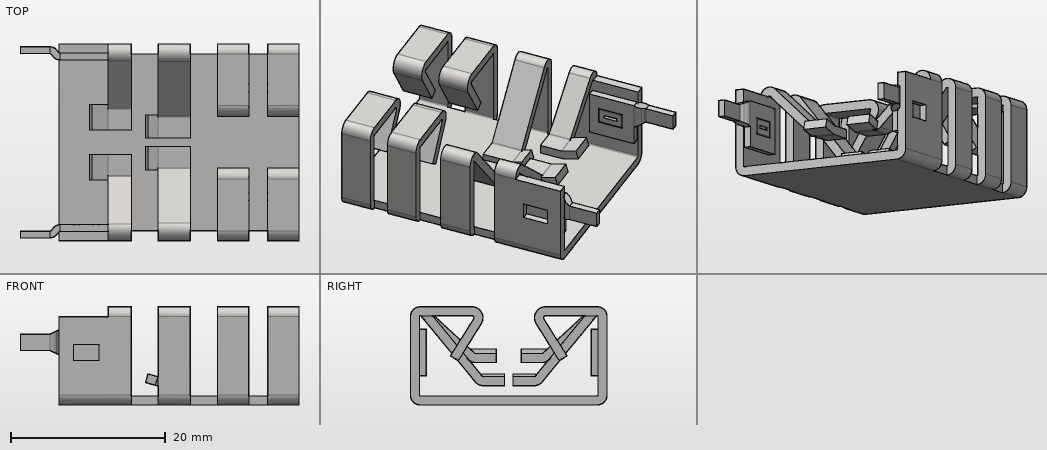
import cadquery as cq
import math

length_end = 36.0
half_width = 12.7
height = 12.7
shell_front = 4.95
sheet = 1.2
bend_inner = 0.1
bend_outer = sheet + bend_inner
bend_y = half_width - bend_outer
wall_inner = half_width - sheet
wall_top = height - bend_outer

front_wall = (shell_front, 14.33)
front_arm = (11.35, 14.33)
middle_arm = (17.8, 21.95)
clips = [(25.45, 29.52), (31.95, length_end)]

front_arm_slope = 42.7
front_pad_top = 6.65
front_pad_tip = 1.6
middle_arm_slope = 50.5
middle_pad_top = 3.67
middle_pad_tip = 0.55

tab_tilt = 16.0
front_tab_length = 2.12
front_tab_width = 3.28
middle_tab_length = 1.35
middle_tab_width = 3.02

clip_bend_y = 4.75
clip_inner = 0.25
clip_outer = sheet + clip_inner
leg_tilt = 32.0
leg_length = 5.65

terminal_sheet = 0.9
tail_outer = 12.35
tail_end = 3.8
tail_height = 2.12
tail_middle = 8.1
joggle_angle = 50.0
joggle_inner = 0.2
joggle_outer = joggle_inner + terminal_sheet
neck_height = 3.4
plate_front = 5.15
plate_rear = 11.45
plate_bottom = 3.78
plate_top = 9.8

rivet_front = 6.85
rivet_length = 3.35
rivet_bottom = 5.72
rivet_height = 2.12
rivet_depth = 0.9
rivet_fillet = 0.15
groove_length = 1.8
groove_radius = 0.18
rivet_x = rivet_front + rivet_length / 2
rivet_z = rivet_bottom + rivet_height / 2


def polar(centre, radius, degrees):
    """Point at an angle on a circle about centre."""
    angle = math.radians(degrees)
    return (centre[0] + radius * math.cos(angle), centre[1] + radius * math.sin(angle))


def box(x_range, y_range, z_range):
    size = [r[1] - r[0] for r in (x_range, y_range, z_range)]
    corner = (x_range[0], y_range[0], z_range[0])
    return cq.Workplane("XY").box(*size, centered=False).translate(corner)


def section_at(x_range):
    """YZ sketch plane at the start of an X range."""
    return cq.Workplane("YZ", origin=(x_range[0], 0, 0))


def side_wall(x_range):
    """Upright wall with the rounded bend that joins it to the floor."""
    lower_bend = (bend_y, bend_outer)
    return (
        section_at(x_range)
        .moveTo(bend_y, 0)
        .threePointArc(polar(lower_bend, bend_outer, -45), (half_width, bend_outer))
        .lineTo(half_width, wall_top)
        .lineTo(wall_inner, wall_top)
        .lineTo(wall_inner, bend_outer)
        .threePointArc(polar(lower_bend, bend_inner, -45), (bend_y, sheet))
        .close()
        .extrude(x_range[1] - x_range[0])
    )


def pad_bend_centre(slope, pad_top):
    """Centre, above the pad, of the bend that joins a sloping arm to its level pad."""
    offset_y, offset_z = polar((bend_y, wall_top), bend_outer + bend_inner, 90 + slope)
    centre_z = pad_top + bend_inner
    run = (offset_z - centre_z) / math.tan(math.radians(slope))
    return (offset_y - run, centre_z)


def contact_arm(x_range, slope, pad_top, pad_tip):
    """Arm bent over the wall top, sloping down inward to a level pad."""
    wall_bend = (bend_y, wall_top)
    pad_bend = pad_bend_centre(slope, pad_top)
    pad_bottom = pad_top - sheet
    wall_normal = 90 + slope
    pad_normal = 270 + slope
    pad_mid = 270 + slope / 2
    outer_tangent = polar(wall_bend, bend_outer, wall_normal)
    return (
        section_at(x_range)
        .moveTo(half_width, wall_top)
        .threePointArc(polar(wall_bend, bend_outer, wall_normal / 2), outer_tangent)
        .lineTo(*polar(pad_bend, bend_inner, pad_normal))
        .threePointArc(polar(pad_bend, bend_inner, pad_mid), (pad_bend[0], pad_top))
        .lineTo(pad_tip, pad_top)
        .lineTo(pad_tip, pad_bottom)
        .lineTo(pad_bend[0], pad_bottom)
        .threePointArc(polar(pad_bend, bend_outer, pad_mid), polar(pad_bend, bend_outer, pad_normal))
        .lineTo(*polar(wall_bend, bend_inner, wall_normal))
        .threePointArc(polar(wall_bend, bend_inner, wall_normal / 2), (wall_inner, wall_top))
        .close()
        .extrude(x_range[1] - x_range[0])
    )


def lead_in_tab(x_edge, slope, pad_top, pad_tip, length, width):
    """Flat tab tilted up toward -X, wider than the bend that joins it to the pad edge."""
    bend = (x_edge, pad_top + bend_inner)
    root_normal = 270 - tab_tilt
    bend_mid = 270 - tab_tilt / 2
    along = 180 - tab_tilt
    root_top = polar(bend, bend_inner, root_normal)
    root_bottom = polar(bend, bend_outer, root_normal)
    bend_width = pad_bend_centre(slope, pad_top)[0] - pad_tip
    root_bend = (
        cq.Workplane("XZ", origin=(0, pad_tip + bend_width, 0))
        .moveTo(x_edge, pad_top)
        .threePointArc(polar(bend, bend_inner, bend_mid), root_top)
        .lineTo(*root_bottom)
        .threePointArc(polar(bend, bend_outer, bend_mid), (x_edge, pad_top - sheet))
        .close()
        .extrude(bend_width)
    )
    flat = (
        cq.Workplane("XZ", origin=(0, pad_tip + width, 0))
        .moveTo(*root_top)
        .lineTo(*polar(root_top, length, along))
        .lineTo(*polar(root_bottom, length, along))
        .lineTo(*root_bottom)
        .close()
        .extrude(width)
    )
    return root_bend.union(flat)


def clip(x_range):
    """Strap bent inward over the wall top, then folded back down in a sloping leg."""
    wall_bend = (bend_y, wall_top)
    fold = (clip_bend_y, height - clip_outer)
    normal = 180 + leg_tilt
    outer_root = polar(fold, clip_outer, normal)
    inner_root = polar(fold, clip_inner, normal)
    leg_direction = leg_tilt - 90
    return (
        section_at(x_range)
        .moveTo(half_width, wall_top)
        .threePointArc(polar(wall_bend, bend_outer, 45), (bend_y, height))
        .lineTo(clip_bend_y, height)
        .threePointArc(polar(fold, clip_outer, (90 + normal) / 2), outer_root)
        .lineTo(*polar(outer_root, leg_length, leg_direction))
        .lineTo(*polar(inner_root, leg_length, leg_direction))
        .lineTo(*inner_root)
        .threePointArc(polar(fold, clip_inner, (90 + normal) / 2), (clip_bend_y, height - sheet))
        .lineTo(bend_y, height - sheet)
        .threePointArc(polar(wall_bend, bend_inner, 45), (wall_inner, wall_top))
        .close()
        .extrude(x_range[1] - x_range[0])
    )


def rivet_block(outer_y, inner_y):
    """Block of the rivet's outline between two Y positions."""
    return box(
        (rivet_front, rivet_front + rivet_length),
        (inner_y, outer_y),
        (rivet_bottom, rivet_bottom + rivet_height),
    )


def rivet():
    """Boss pushed out of the wall, with a rounded rim and a shallow round groove."""
    boss = rivet_block(wall_inner, wall_inner - rivet_depth).faces("<Y").edges().fillet(rivet_fillet)
    groove = (
        cq.Workplane("YZ", origin=(rivet_x - groove_length / 2, wall_inner - rivet_depth, rivet_z))
        .circle(groove_radius)
        .extrude(groove_length)
    )
    return boss.cut(groove)


def contact_spring(x_range, slope, pad_top, pad_tip, tab_length, tab_width):
    """Contact arm together with the lead-in tab on its pad."""
    arm = contact_arm(x_range, slope, pad_top, pad_tip)
    tab = lead_in_tab(x_range[0], slope, pad_top, pad_tip, tab_length, tab_width)
    return arm.union(tab)


def shell_side():
    """Everything that stands on the +Y edge of the floor."""
    pocket = rivet_block(half_width, half_width - rivet_depth)
    front_spring = contact_spring(
        front_arm, front_arm_slope, front_pad_top, front_pad_tip, front_tab_length, front_tab_width
    )
    middle_spring = contact_spring(
        middle_arm, middle_arm_slope, middle_pad_top, middle_pad_tip, middle_tab_length, middle_tab_width
    )
    side = side_wall(front_wall).cut(pocket).union(rivet()).union(front_spring)
    side = side.union(side_wall(middle_arm)).union(middle_spring)
    for x_range in clips:
        side = side.union(side_wall(x_range)).union(clip(x_range))
    return side


def make_shell():
    floor = box((shell_front, length_end), (-bend_y, bend_y), (0, sheet))
    side = shell_side()
    return floor.union(side).union(side.mirror("XZ"))


def terminal_strip():
    """Joggled strip seen from above: tail, two opposite bends, plate."""
    angle = math.radians(joggle_angle)
    tail_inner = tail_outer - terminal_sheet
    plate_inner = wall_inner - terminal_sheet
    tail_bend = (tail_end, tail_inner - joggle_inner)
    plate_bend_y = wall_inner + joggle_inner
    bend_gap = joggle_inner + joggle_outer
    bend_rise = plate_bend_y - tail_bend[1]
    bend_run = (bend_gap - bend_rise * math.cos(angle)) / math.sin(angle)
    plate_bend = (tail_end + bend_run, plate_bend_y)
    tail_normal = 90 - joggle_angle
    plate_normal = 270 - joggle_angle
    tail_mid = 90 - joggle_angle / 2
    plate_mid = 270 - joggle_angle / 2
    outer_face_tangent = polar(tail_bend, joggle_outer, tail_normal)
    inner_face_tangent = polar(plate_bend, joggle_outer, plate_normal)
    return (
        cq.Workplane("XY", origin=(0, 0, plate_bottom))
        .moveTo(0, tail_outer)
        .lineTo(tail_end, tail_outer)
        .threePointArc(polar(tail_bend, joggle_outer, tail_mid), outer_face_tangent)
        .lineTo(*polar(plate_bend, joggle_inner, plate_normal))
        .threePointArc(polar(plate_bend, joggle_inner, plate_mid), (plate_bend[0], wall_inner))
        .lineTo(plate_rear, wall_inner)
        .lineTo(plate_rear, plate_inner)
        .lineTo(plate_bend[0], plate_inner)
        .threePointArc(polar(plate_bend, joggle_outer, plate_mid), inner_face_tangent)
        .lineTo(*polar(tail_bend, joggle_inner, tail_normal))
        .threePointArc(polar(tail_bend, joggle_inner, tail_mid), (tail_end, tail_inner))
        .lineTo(0, tail_inner)
        .close()
        .extrude(plate_top - plate_bottom)
    )


def terminal_outline():
    """Side outline of the terminal: narrow tail, flared neck, tall plate."""
    tail_low = tail_middle - tail_height / 2
    tail_high = tail_middle + tail_height / 2
    return (
        cq.Workplane("XZ", origin=(0, half_width, 0))
        .moveTo(0, tail_low)
        .lineTo(tail_end, tail_low)
        .lineTo(plate_front, tail_middle - neck_height / 2)
        .lineTo(plate_front, plate_bottom)
        .lineTo(plate_rear, plate_bottom)
        .lineTo(plate_rear, plate_top)
        .lineTo(plate_front, plate_top)
        .lineTo(tail_end, tail_high)
        .lineTo(0, tail_high)
        .close()
        .extrude(half_width)
    )


def make_terminal():
    window = rivet_block(wall_inner, wall_inner - terminal_sheet)
    return terminal_strip().intersect(terminal_outline()).cut(window)


shell = make_shell()
terminal = make_terminal()
terminals = [terminal, terminal.mirror("XZ")]

result = cq.Compound.makeCompound([shell.val(), *[t.val() for t in terminals]])